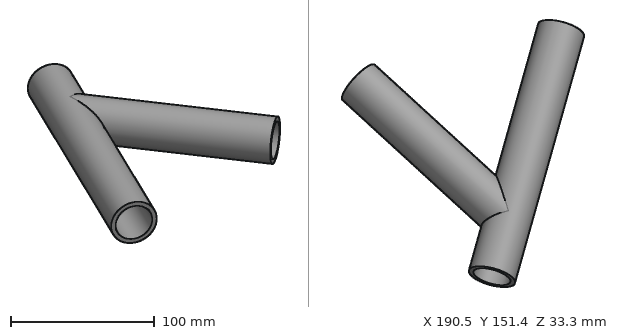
import cadquery as cq
import math

run_length = 190.5
outer_diameter = 33.3
bore_diameter = 26.7
junction_x = 44.4
branch_angle = 60.0
branch_length = 146.0

branch_direction = cq.Vector(
    math.cos(math.radians(branch_angle)),
    math.sin(math.radians(branch_angle)),
    0,
)


def run_cylinder(diameter):
    """Cylinder along X over the full length of the run."""
    return cq.Workplane("YZ").circle(diameter / 2).extrude(run_length)


def branch_cylinder(diameter):
    """Cylinder from the axis crossing out to the branch end."""
    branch_plane = cq.Plane(origin=(junction_x, 0, 0), xDir=(0, 0, 1), normal=branch_direction)
    return cq.Workplane(branch_plane).circle(diameter / 2).extrude(branch_length)


outer_body = run_cylinder(outer_diameter).union(branch_cylinder(outer_diameter))
result = outer_body.cut(run_cylinder(bore_diameter)).cut(branch_cylinder(bore_diameter))